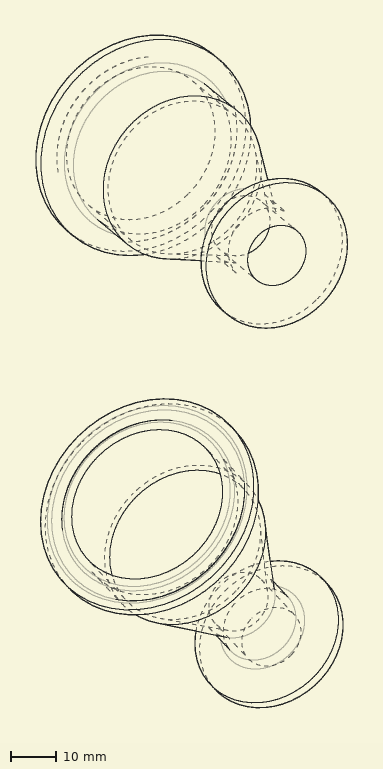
import cadquery as cq
import math

length = 75.0
large_tube_radius = 38.1 / 2
large_bore_radius = 35.7 / 2
large_flange_radius = 50.5 / 2
small_tube_radius = 17.3 / 2
small_bore_radius = 14.0 / 2
small_flange_radius = 34.0 / 2
taper_start = 22.95
taper_end = 55.1

rim_width = 2.85
back_angle = math.radians(20)
neck_radius = 2.0

groove_inner_radius = 19.65
groove_outer_radius = 23.6
groove_depth = 1.5
groove_lip_radius = 0.8


def polar(center, radius, angle):
    """Point on a circle in the (axial, radial) plane."""
    return (
        center[0] + radius * math.cos(angle),
        center[1] + radius * math.sin(angle),
    )


def revolve(profile):
    """Turn a closed (axial, radial) profile around the X axis."""
    return profile.close().revolve(360, (0, 0, 0), (1, 0, 0))


def flange_solid(flange_radius, tube_radius):
    """Flange with its face at X = 0, blending into a tube towards +X."""
    back_run = (flange_radius - tube_radius) * math.tan(back_angle)
    tangent_length = neck_radius * math.tan((math.pi / 2 - back_angle) / 2)
    neck_end = rim_width + back_run + tangent_length
    fillet_center = (neck_end, tube_radius + neck_radius)
    back_normal = math.pi + back_angle
    tube_normal = 3 * math.pi / 2
    fillet_start = polar(fillet_center, neck_radius, back_normal)
    fillet_middle = polar(fillet_center, neck_radius, (back_normal + tube_normal) / 2)
    profile = (
        cq.Workplane("XY")
        .lineTo(0, flange_radius)
        .lineTo(rim_width, flange_radius)
        .lineTo(*fillet_start)
        .threePointArc(fillet_middle, (neck_end, tube_radius))
        .lineTo(neck_end, 0)
    )
    return revolve(profile)


def stepped_cone(large_radius, small_radius):
    """Cylinder, taper and smaller cylinder over the full length."""
    profile = (
        cq.Workplane("XY")
        .lineTo(0, large_radius)
        .lineTo(taper_start, large_radius)
        .lineTo(taper_end, small_radius)
        .lineTo(length, small_radius)
        .lineTo(length, 0)
    )
    return revolve(profile)


def gasket_groove():
    """Ring with a round bottom and rounded lips, all arcs tangent."""
    half_width = (groove_outer_radius - groove_inner_radius) / 2
    middle_radius = groove_inner_radius + half_width
    radius_sum = (half_width**2 + groove_depth**2) / (2 * groove_depth)
    bottom_radius = radius_sum - groove_lip_radius
    sweep = math.asin(half_width / radius_sum)
    bottom_center = (groove_depth - bottom_radius, middle_radius)
    inner_lip_center = (groove_lip_radius, groove_inner_radius)
    outer_lip_center = (groove_lip_radius, groove_outer_radius)
    profile = (
        cq.Workplane("XY")
        .moveTo(0, groove_inner_radius)
        .threePointArc(
            polar(inner_lip_center, groove_lip_radius, math.pi - sweep / 2),
            polar(inner_lip_center, groove_lip_radius, math.pi - sweep),
        )
        .threePointArc(
            (groove_depth, middle_radius),
            polar(bottom_center, bottom_radius, sweep),
        )
        .threePointArc(
            polar(outer_lip_center, groove_lip_radius, math.pi + sweep / 2),
            (0, groove_outer_radius),
        )
    )
    return revolve(profile)


large_flange = flange_solid(large_flange_radius, large_tube_radius)
small_flange = (
    flange_solid(small_flange_radius, small_tube_radius)
    .mirror("YZ")
    .translate((length, 0, 0))
)
body = stepped_cone(large_tube_radius, small_tube_radius)
bore = stepped_cone(large_bore_radius, small_bore_radius)

result = body.union(large_flange).union(small_flange).cut(bore).cut(gasket_groove())